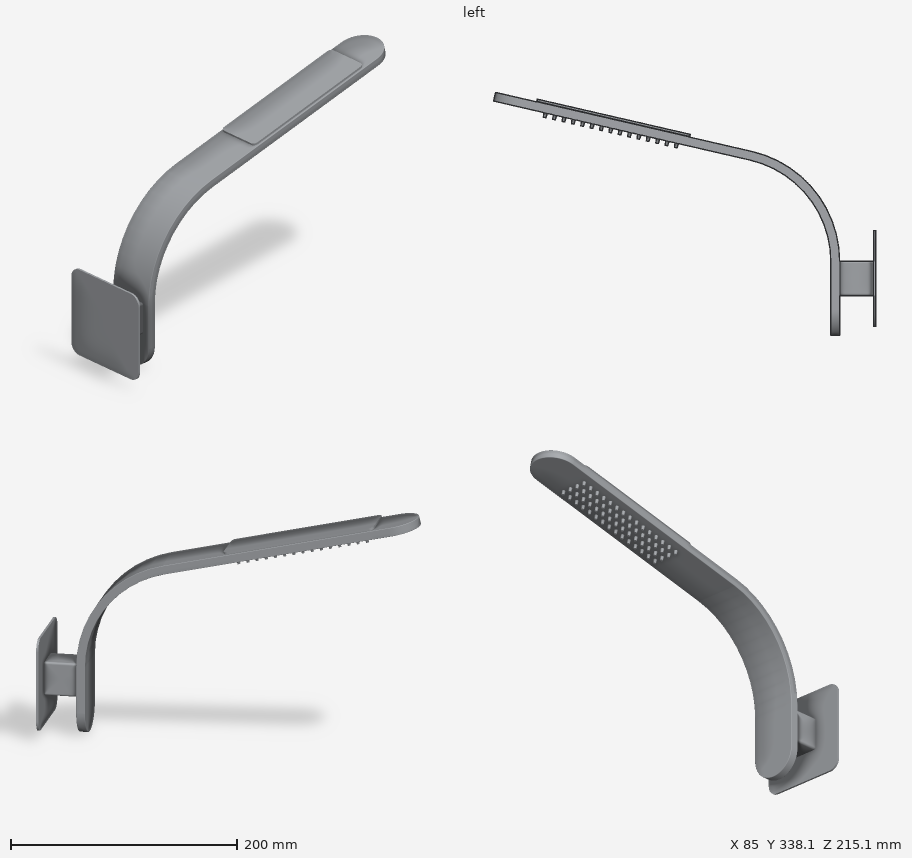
import cadquery as cq
import math

PLATE_SIZE = 85.0
PLATE_THICKNESS = 2.0
PLATE_CORNER_RADIUS = 10.0

NECK_SIZE = 30.7
NECK_LENGTH = 30.0
NECK_EDGE_RADIUS = 2.0

ARM_WIDTH = 45.0
ARM_THICKNESS = 8.0
ARM_END_RADIUS = ARM_WIDTH / 2
ARM_EDGE_RADIUS = 0.5
LEG_BOTTOM = -50.5
BEND_START = 15.0
BEND_RADIUS = 100.0
HEAD_ANGLE = 12.97
HEAD_LENGTH = 232.83

PANEL_LENGTH = 139.0
PANEL_WIDTH = 42.0
PANEL_THICKNESS = 2.0
PANEL_GAP = 0.5
PANEL_OVERHANG = 1.0
PANEL_CORNER_RADIUS = 4.0
PANEL_CENTRE = 126.0

NOZZLE_ROWS = 15
NOZZLE_COLUMNS = 4
NOZZLE_PITCH = 8.5
NOZZLE_BASE_DIAMETER = 3.5
NOZZLE_TIP_DIAMETER = 2.5
NOZZLE_LENGTH = 4.0

ARM_BACK = PLATE_THICKNESS + NECK_LENGTH
OVERLAP = 1.0

NOZZLE_TAPER = math.degrees(
    math.atan((NOZZLE_BASE_DIAMETER - NOZZLE_TIP_DIAMETER) / 2 / (NOZZLE_LENGTH + OVERLAP))
)

angle = math.radians(HEAD_ANGLE)
bend_centre = (ARM_BACK + BEND_RADIUS, BEND_START)


def bend_point(radius, direction):
    """Point (y, z) on the bend; direction is measured from +Y."""
    return (
        bend_centre[0] + radius * math.cos(direction),
        bend_centre[1] + radius * math.sin(direction),
    )


def along_head(point, distance):
    """Move a (y, z) point along the inclined head."""
    return (
        point[0] + distance * math.cos(angle),
        point[1] + distance * math.sin(angle),
    )


bend_end_direction = math.pi / 2 + angle
bend_middle_direction = (math.pi + bend_end_direction) / 2
bend_end = bend_point(BEND_RADIUS, bend_end_direction)

head_plane = cq.Plane(
    origin=(0, *bend_end),
    xDir=(1, 0, 0),
    normal=(0, -math.sin(angle), math.cos(angle)),
)


def make_plate():
    plate = cq.Workplane("XY").box(PLATE_SIZE, PLATE_THICKNESS, PLATE_SIZE)
    plate = plate.edges("|Y").fillet(PLATE_CORNER_RADIUS)
    return plate.translate((0, PLATE_THICKNESS / 2, 0))


def make_neck():
    length = NECK_LENGTH + OVERLAP
    neck = cq.Workplane("XY").box(NECK_SIZE, length, NECK_SIZE)
    neck = neck.edges("|Y").fillet(NECK_EDGE_RADIUS)
    return neck.translate((0, PLATE_THICKNESS + length / 2, 0))


def corner_waste(tip_plane):
    """Material outside the semicircular end; local +Y of the plane points out of the tip."""
    return (
        cq.Workplane(tip_plane)
        .moveTo(-ARM_END_RADIUS, -ARM_END_RADIUS)
        .threePointArc((0, 0), (ARM_END_RADIUS, -ARM_END_RADIUS))
        .lineTo(ARM_END_RADIUS, 0)
        .lineTo(-ARM_END_RADIUS, 0)
        .close()
        .extrude(-ARM_THICKNESS)
    )


def make_arm():
    inner_radius = BEND_RADIUS - ARM_THICKNESS
    inner_bend_end = bend_point(inner_radius, bend_end_direction)
    leg_front = ARM_BACK + ARM_THICKNESS
    arm = (
        cq.Workplane("YZ")
        .moveTo(ARM_BACK, LEG_BOTTOM)
        .lineTo(ARM_BACK, BEND_START)
        .threePointArc(bend_point(BEND_RADIUS, bend_middle_direction), bend_end)
        .lineTo(*along_head(bend_end, HEAD_LENGTH))
        .lineTo(*along_head(inner_bend_end, HEAD_LENGTH))
        .lineTo(*inner_bend_end)
        .threePointArc(
            bend_point(inner_radius, bend_middle_direction),
            (leg_front, BEND_START),
        )
        .lineTo(leg_front, LEG_BOTTOM)
        .close()
        .extrude(ARM_WIDTH / 2, both=True)
    )
    leg_tip = (0, ARM_BACK, LEG_BOTTOM)
    leg_tip_plane = cq.Plane(origin=leg_tip, xDir=(-1, 0, 0), normal=(0, -1, 0))
    head_tip = (0, *along_head(bend_end, HEAD_LENGTH))
    head_tip_plane = cq.Plane(origin=head_tip, xDir=(1, 0, 0), normal=head_plane.zDir)
    arm = arm.cut(corner_waste(head_tip_plane)).cut(corner_waste(leg_tip_plane))
    return arm.faces("<X").edges("%CIRCLE").fillet(ARM_EDGE_RADIUS)


def head_pad(width, length, corner_radius, bottom, top):
    """Rounded slab at the panel position; bottom and top are heights above the head."""
    return (
        cq.Workplane(head_plane)
        .workplane(offset=bottom)
        .center(0, PANEL_CENTRE)
        .rect(width, length)
        .extrude(top - bottom)
        .edges(cq.selectors.ParallelDirSelector(head_plane.zDir))
        .fillet(corner_radius)
    )


def make_panel():
    lid = head_pad(
        PANEL_WIDTH,
        PANEL_LENGTH,
        PANEL_CORNER_RADIUS,
        PANEL_GAP,
        PANEL_GAP + PANEL_THICKNESS,
    )
    base = head_pad(
        PANEL_WIDTH - 2 * PANEL_OVERHANG,
        PANEL_LENGTH - 2 * PANEL_OVERHANG,
        PANEL_CORNER_RADIUS - PANEL_OVERHANG,
        -OVERLAP,
        PANEL_GAP,
    )
    return lid.union(base)


def make_nozzles():
    return (
        cq.Workplane(head_plane)
        .workplane(offset=OVERLAP - ARM_THICKNESS)
        .center(0, PANEL_CENTRE)
        .rarray(NOZZLE_PITCH, NOZZLE_PITCH, NOZZLE_COLUMNS, NOZZLE_ROWS)
        .circle(NOZZLE_BASE_DIAMETER / 2)
        .extrude(-(NOZZLE_LENGTH + OVERLAP), taper=NOZZLE_TAPER)
    )


result = (
    make_plate()
    .union(make_neck())
    .union(make_arm())
    .union(make_panel())
    .union(make_nozzles())
)